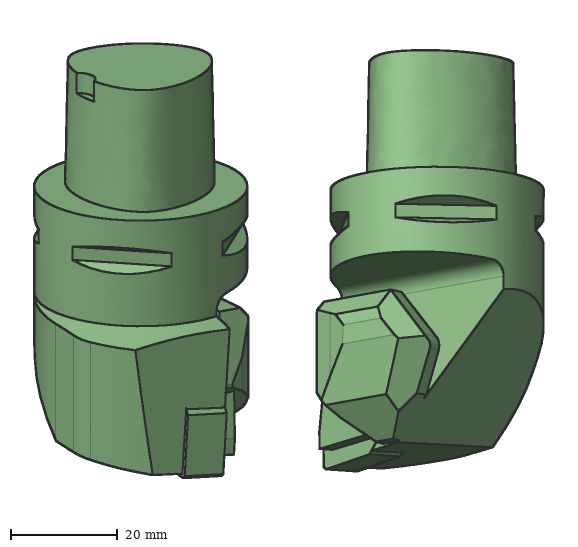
import cadquery as cq
import math

BIG = 148.0

flange_diameter = 40.0
flange_radius = flange_diameter / 2
flange_height = 20.95

shank_height = 24.0
shank_base_radius = 14.05
shank_top_radius = 13.55
lobe_ratio = 0.065
lobe_point_count = 36
key_notch_radius = 3.55
key_notch_center_y = -14.4
key_notch_depth = 4.0

groove_count = 4
groove_center_z = -8.1
groove_floor_distance = 17.6
groove_floor_width = 2.6
groove_mouth_width = 5.2

total_length = 74.0
tip_trim = 0.05
tip_z = shank_height - total_length - tip_trim
tip_x = 27.15
head_side_y = -22.35
head_tangent_x = -10.4
head_tangent_length = 2.9
head_flat_start_x = 4.8
head_flat_end_x = 10.9
nose_start = (15.2, -21.4)
nose_middle = (20.5, -18.05)
nose_end = (25.1, -13.3)
shoulder_angle = 15.0
end_slope = 0.08
bottom_slope = 0.09
side_relief = 0.09
bottom_relief = 0.11
back_slope = 0.94
back_tilt = 0.03
end_face_point = (24.3, 3.4, -21.9)
bottom_face_point = (7.5, 2.6, -47.9)
back_face_point = (-flange_radius, 0, -22.05)

pocket_wall_y = 4.1
pocket_roof_edge_z = -16.0
pocket_roof_inner_z = -17.3
pocket_corner_radius = 2.95

ridge_corner_radius = 2.2
ridge_profile_yz = [
    (0, -20.0), (9.25, -20.2), (12.3, -23.9), (12.95, -26.4),
    (12.9, -30.05), (10.9, -40.6), (4.5, -47.6), (0, -47.6),
]
ridge_outline_xz = [
    (3.7, -49.0), (-5.55, -31.1), (4.45, -19.25),
    (19.6, -19.25), (23.7, -34.05), (16.3, -42.9), (9.6, -49.0),
]
ridge_outline_xy = [
    (-14.8, 0), (-14.8, 13.0), (11.85, 13.0), (16.3, 11.85),
    (20.5, 10.65), (22.35, 8.0), (23.5, 5.0), (23.5, 0),
]
ridge_wall_bevel = ((-5.55, 8.15, -31.1), (-1, 1, -0.65))
ridge_shoulder_bevel = ((0, 9.25, -24.4), (-0.8, 1, 0.68))
pad_thickness = 3.3
pad_outline = [(24.65, -46.6), (24.4, -43.5), (22.2, -34.05), (11.85, -34.05), (11.85, -45.9)]

insert_thickness = 8.3
insert_side = 14.05
insert_corner_cut = 1.85
insert_nose_cut = 0.6

rake_normal = cq.Vector(side_relief, 1, -bottom_relief).normalized()


def half_space(point, normal):
    """Large block that fills the side of a plane that its normal points to."""
    plane = cq.Plane(origin=point, normal=normal)
    return cq.Workplane(plane).rect(BIG, BIG).extrude(BIG)


def rake_y(x, z):
    """Y of the rake plane at a given X and Z."""
    px, py, pz = bottom_face_point
    return py - side_relief * (x - px) + bottom_relief * (z - pz)


def on_rake(outline):
    """Face outline on the rake plane, as a closed wire."""
    return cq.Wire.makePolygon([cq.Vector(x, rake_y(x, z), z) for x, z in outline], close=True)


def prism_on_rake(outline, height):
    """Prism that stands on the rake plane, towards +Y for a positive height."""
    return cq.Workplane(cq.Solid.extrudeLinear(on_rake(outline), [], rake_normal * height))


def lobe_point(mean_radius, angle):
    """Point of the three-lobed outline, from its support function."""
    lobe = lobe_ratio * mean_radius
    support = mean_radius - lobe * math.sin(3 * angle)
    slope = -3 * lobe * math.cos(3 * angle)
    return (
        support * math.cos(angle) - slope * math.sin(angle),
        support * math.sin(angle) + slope * math.cos(angle),
    )


def lobe_wire(mean_radius, z):
    """Closed three-lobed outline at height z, with one lobe towards +Y."""
    angles = [2 * math.pi * i / lobe_point_count for i in range(lobe_point_count)]
    points = [cq.Vector(*lobe_point(mean_radius, angle), z) for angle in angles]
    return cq.Wire.assembleEdges([cq.Edge.makeSpline(points, periodic=True)])


def make_shank():
    """Tapered shank with a round key notch in its top edge."""
    base = lobe_wire(shank_base_radius, 0)
    top = lobe_wire(shank_top_radius, shank_height)
    shank = cq.Workplane(cq.Solid.makeLoft([base, top], True))
    notch = (
        cq.Workplane("XY", origin=(0, key_notch_center_y, shank_height))
        .circle(key_notch_radius)
        .extrude(-key_notch_depth)
    )
    return shank.cut(notch)


def make_gripper_groove():
    """Groove with sloping flanks, cut straight across the +X side."""
    flank_slope = (groove_mouth_width - groove_floor_width) / 2 / (flange_radius - groove_floor_distance)
    outer = flange_radius + 0.75
    outer_half = groove_floor_width / 2 + flank_slope * (outer - groove_floor_distance)
    floor_half = groove_floor_width / 2
    return (
        cq.Workplane("XZ", origin=(0, 0, groove_center_z))
        .polyline([
            (groove_floor_distance, -floor_half),
            (outer, -outer_half),
            (outer, outer_half),
            (groove_floor_distance, floor_half),
        ])
        .close()
        .extrude(flange_radius, both=True)
    )


def make_flange():
    """Round flange with gripper grooves at 45 degrees to X and Y."""
    flange = cq.Workplane("XY").circle(flange_radius).extrude(-flange_height)
    groove = make_gripper_groove()
    for i in range(groove_count):
        angle = (i + 0.5) * 360 / groove_count
        flange = flange.cut(groove.rotate((0, 0, 0), (0, 0, 1), angle))
    return flange


def make_head_block():
    """Vertical prism of the head: the flange circle widened towards -Y and +X."""
    tangent_y = -math.sqrt(flange_radius**2 - head_tangent_x**2)
    direction = (-tangent_y / flange_radius, head_tangent_x / flange_radius)
    arc_start = (
        head_tangent_x + head_tangent_length * direction[0],
        tangent_y + head_tangent_length * direction[1],
    )
    return (
        cq.Workplane("XY", origin=(0, 0, -flange_height))
        .moveTo(0, flange_radius)
        .threePointArc((-flange_radius, 0), (head_tangent_x, tangent_y))
        .lineTo(*arc_start)
        .tangentArcPoint((head_flat_start_x, head_side_y), relative=False)
        .lineTo(head_flat_end_x, head_side_y)
        .tangentArcPoint(nose_start, relative=False)
        .threePointArc(nose_middle, nose_end)
        .lineTo(tip_x, nose_end[1])
        .lineTo(tip_x, flange_radius)
        .close()
        .extrude(tip_z + flange_height)
    )


def make_shoulder_cone():
    """Envelope that slopes the top of the head down outside the flange."""
    reach = 2 * flange_radius
    drop = (reach - flange_radius) * math.tan(math.radians(shoulder_angle))
    return (
        cq.Workplane("XZ")
        .polyline([
            (0, -flange_height),
            (flange_radius, -flange_height),
            (reach, -flange_height - drop),
            (reach, -BIG),
            (0, -BIG),
        ])
        .close()
        .revolve(360, (0, 0, 0), (0, 1, 0))
    )


def make_pocket():
    """Chip pocket below a sloping roof, with a rounded inner corner."""
    return (
        cq.Workplane("YZ")
        .polyline([
            (pocket_wall_y, -BIG),
            (pocket_wall_y, pocket_roof_inner_z),
            (flange_radius, pocket_roof_edge_z),
            (BIG, pocket_roof_edge_z),
            (BIG, -BIG),
        ])
        .close()
        .extrude(BIG, both=True)
        .edges(cq.selectors.NearestToPointSelector((0, pocket_wall_y, pocket_roof_inner_z)))
        .fillet(pocket_corner_radius)
    )


def make_ridge():
    """Faceted clamping ridge, the common part of its three outlines."""
    side = cq.Workplane("YZ").polyline(ridge_profile_yz).close().extrude(BIG, both=True)
    front = cq.Workplane("XZ").polyline(ridge_outline_xz).close().extrude(BIG, both=True)
    left_x, left_z = ridge_outline_xz[1]
    front = front.edges(cq.selectors.NearestToPointSelector((left_x, 0, left_z)))
    front = front.fillet(ridge_corner_radius)
    plan = cq.Workplane("XY").polyline(ridge_outline_xy).close().extrude(-BIG)
    ridge = side.intersect(front).intersect(plan)
    for point, normal in (ridge_wall_bevel, ridge_shoulder_bevel):
        ridge = ridge.cut(half_space(point, normal))
    ridge = ridge.union(prism_on_rake(pad_outline, pad_thickness))
    return ridge.intersect(half_space(bottom_face_point, rake_normal))


def make_insert():
    """Rhombic insert whose sides follow the end and bottom faces of the head."""
    up = cq.Vector(-end_slope, 0, 1).normalized()
    left = cq.Vector(-1, 0, bottom_slope).normalized()
    tip = cq.Vector(tip_x, 0, tip_z)

    def at(along_up, along_left):
        p = tip + up * along_up + left * along_left
        return (p.x, p.z)

    cut_start = insert_side - insert_corner_cut
    outline = [
        at(0, insert_nose_cut),
        at(insert_nose_cut, 0),
        at(cut_start, 0),
        at(insert_side, insert_corner_cut),
        at(insert_side, insert_side),
        at(insert_corner_cut, insert_side),
        at(0, cut_start),
    ]
    return prism_on_rake(outline, -insert_thickness)


def make_holder(insert):
    """Shank, flange, head and ridge as one solid, with a seat for the insert."""
    head = make_head_block().intersect(make_shoulder_cone())
    head = head.cut(half_space(bottom_face_point, rake_normal))
    body = make_flange().union(head).cut(make_pocket())
    body = body.union(make_ridge())
    body = body.cut(half_space(end_face_point, (1, -side_relief, end_slope)))
    body = body.cut(half_space(bottom_face_point, (-bottom_slope, -bottom_relief, -1)))
    body = body.cut(half_space(back_face_point, (-back_slope, -back_tilt, -1)))
    return body.union(make_shank()).cut(insert)


insert = make_insert()
holder = make_holder(insert)

result = cq.Compound.makeCompound([holder.val(), insert.val()])